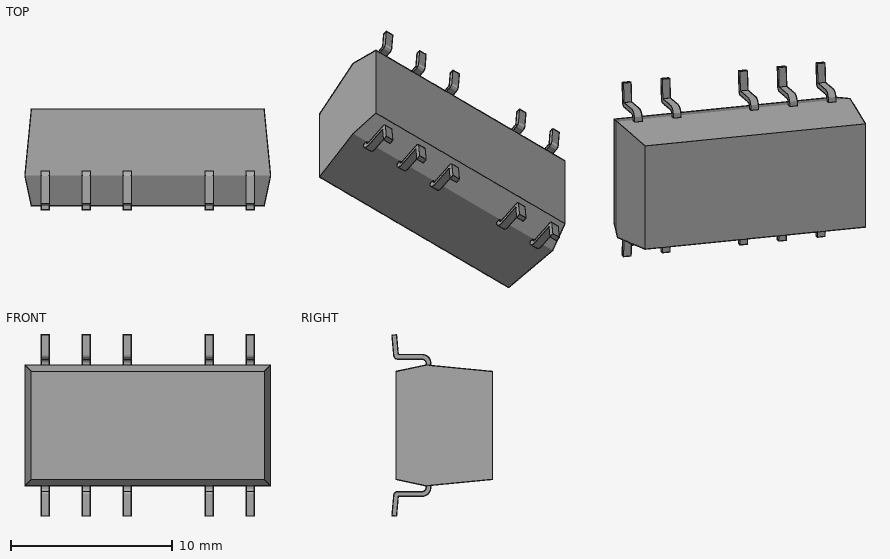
import cadquery as cq
import math

BODY_LENGTH = 15.24
BODY_HEIGHT = 7.5
FRONT_DEPTH = 1.87
BACK_DEPTH = 4.13
TAPER_INSET = 0.4

LEAD_PITCH = 2.54
LEAD_SLOTS = (-2.5, -1.5, -0.5, 1.5, 2.5)
LEAD_WIDTH = 0.5
LEAD_THICKNESS = 0.3
LEAD_SPAN = 11.25
LEAD_EMBED = 0.3
SHOULDER_INNER_RADIUS = 0.25
SHOULDER_OUTER_RADIUS = SHOULDER_INNER_RADIUS + LEAD_THICKNESS
SHOULDER_RISE = 0.1
SHOULDER_START_Z = BODY_HEIGHT / 2 + SHOULDER_RISE
HEEL_RADIUS = 0.25
FOOT_ANGLE = math.radians(5)
STANDOFF = 0.25


def tapered_half(end_y):
    """Half of the body, from the parting plane to its smaller end face."""
    return (
        cq.Workplane("XZ")
        .rect(BODY_LENGTH, BODY_HEIGHT)
        .workplane(offset=-end_y)
        .rect(BODY_LENGTH - 2 * TAPER_INSET, BODY_HEIGHT - 2 * TAPER_INSET)
        .loft()
    )


def upper_lead(center_x):
    """Lead leaving the top edge, bent forward and then up into the foot."""
    root_z = BODY_HEIGHT / 2 - LEAD_EMBED
    arm_bottom_z = SHOULDER_START_Z + SHOULDER_INNER_RADIUS
    arm_top_z = arm_bottom_z + LEAD_THICKNESS
    diagonal = math.sqrt(0.5)

    shoulder_y = -SHOULDER_INNER_RADIUS
    inner_mid = (
        shoulder_y + SHOULDER_INNER_RADIUS * diagonal,
        SHOULDER_START_Z + SHOULDER_INNER_RADIUS * diagonal,
    )
    outer_mid = (
        shoulder_y + SHOULDER_OUTER_RADIUS * diagonal,
        SHOULDER_START_Z + SHOULDER_OUTER_RADIUS * diagonal,
    )

    lean_y = math.sin(FOOT_ANGLE)
    lean_z = math.cos(FOOT_ANGLE)
    tip_front_y = -(FRONT_DEPTH + STANDOFF)
    tip_back_y = tip_front_y + LEAD_THICKNESS * lean_z
    tip_back_z = LEAD_SPAN / 2
    tip_front_z = tip_back_z - LEAD_THICKNESS * lean_y

    corner_y = tip_back_y + (tip_back_z - arm_top_z) * math.tan(FOOT_ANGLE)

    heel_z = arm_bottom_z + HEEL_RADIUS
    foot_front_y = tip_front_y + (tip_front_z - heel_z) * math.tan(FOOT_ANGLE)
    heel_y = foot_front_y + HEEL_RADIUS / lean_z
    heel_mid_angle = (math.pi / 2 - FOOT_ANGLE) / 2
    heel_mid = (
        heel_y - HEEL_RADIUS * math.sin(heel_mid_angle),
        heel_z - HEEL_RADIUS * math.cos(heel_mid_angle),
    )
    heel_end = (heel_y - HEEL_RADIUS * lean_z, heel_z - HEEL_RADIUS * lean_y)

    return (
        cq.Workplane("YZ", origin=(center_x, 0, 0))
        .moveTo(0, root_z)
        .lineTo(0, SHOULDER_START_Z)
        .threePointArc(inner_mid, (shoulder_y, arm_bottom_z))
        .lineTo(heel_y, arm_bottom_z)
        .threePointArc(heel_mid, heel_end)
        .lineTo(tip_front_y, tip_front_z)
        .lineTo(tip_back_y, tip_back_z)
        .lineTo(corner_y, arm_top_z)
        .lineTo(shoulder_y, arm_top_z)
        .threePointArc(outer_mid, (LEAD_THICKNESS, SHOULDER_START_Z))
        .lineTo(LEAD_THICKNESS, root_z)
        .close()
        .extrude(LEAD_WIDTH / 2, both=True)
    )


result = tapered_half(-FRONT_DEPTH).union(tapered_half(BACK_DEPTH))

for slot in LEAD_SLOTS:
    lead = upper_lead(slot * LEAD_PITCH)
    result = result.union(lead).union(lead.mirror("XY"))